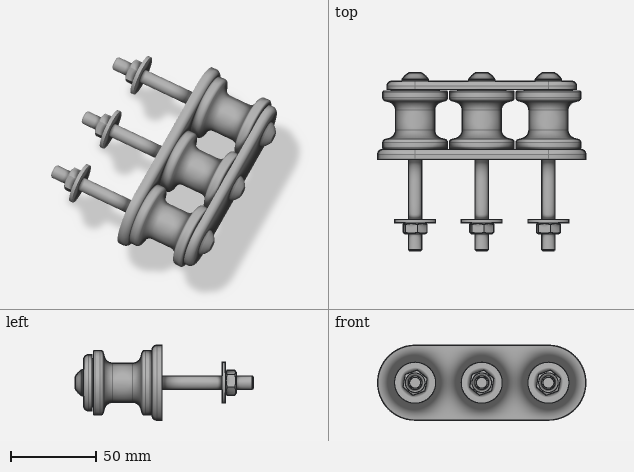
import cadquery as cq
import math


BOLT_COUNT = 3
BOLT_PITCH = 39.0
ROW_LENGTH = (BOLT_COUNT - 1) * BOLT_PITCH

BASE_WIDTH = 44.0
BASE_THICKNESS = 6.0
COVER_WIDTH = 33.0
COVER_THICKNESS = 5.0
PLATE_FILLET = 3.0
BASE_EDGE_FILLET = 0.25

FLANGE_RADIUS = 38.0 / 2
NECK_RADIUS = 23.0 / 2
ROLLER_LENGTH = 34.3
NECK_FILLET = 5.0
FLANGE_INNER_FILLET = 2.0
FLANGE_DRAFT = 15.0
FLANGE_OUTER_FILLET = 1.1
NECK_LENGTH = 11.7

SPACER_DIAMETER = 28.5
SPACER_THICKNESS = 0.7

SHANK_DIAMETER = 8.0
SHANK_CHAMFER = 0.8
OVERALL_LENGTH = 104.4
HEAD_RADIUS = 15.6 / 2
HEAD_HEIGHT = 5.0
HEAD_RIM_HEIGHT = 0.8
HEAD_CONE_HEIGHT = 0.8
DOME_BASE_RADIUS = 7.3
DOME_TOP_RADIUS = 3.3
DOME_BULGE = 0.35

WASHER_DIAMETER = 24.0
WASHER_THICKNESS = 2.0
WASHER_FACE_Y = -35.0
NUT_ACROSS_FLATS = 13.0
NUT_HEIGHT = 6.5
NUT_FACE_DIAMETER = 11.4
NUT_CHAMFER_ANGLE = 30.0
NUT_TURN = 10.0
HEXAGON_SIDES = 6
HEXAGON_HALF_ANGLE = 180.0 / HEXAGON_SIDES

COVER_Y = BASE_THICKNESS + ROLLER_LENGTH + SPACER_THICKNESS
HEAD_Y = COVER_Y + COVER_THICKNESS
BOLT_TOP_Y = HEAD_Y + HEAD_HEIGHT
BOLT_END_Y = BOLT_TOP_Y - OVERALL_LENGTH
NUT_FACE_Y = WASHER_FACE_Y - WASHER_THICKNESS


def xz_plane(y):
    """Workplane at station y whose normal is +Y and whose local x is -X."""
    return cq.Workplane(cq.Plane(origin=(0, y, 0), xDir=(-1, 0, 0), normal=(0, 1, 0)))


def disc(diameter, y, thickness):
    """Round disc on the Y axis, from y to y + thickness."""
    return xz_plane(y).circle(diameter / 2).extrude(thickness)


def revolve_about_y(profile):
    """Close an XY half profile along the Y axis and spin it into a solid."""
    return profile.close().revolve(360, (0, 0, 0), (0, 1, 0))


def plate(width, y, thickness):
    """Stadium plate with its +Y edge rounded."""
    blank = xz_plane(y).slot2D(ROW_LENGTH + width, width).extrude(thickness)
    return blank.faces(">Y").edges().fillet(PLATE_FILLET)


def half_roller():
    """Half spool from its middle (Y = 0) to its +Y end; a drafted wall joins flange and neck fillets."""
    end = ROLLER_LENGTH / 2
    neck_end = NECK_LENGTH / 2
    sine = math.sin(math.radians(FLANGE_DRAFT))
    cosine = math.cos(math.radians(FLANGE_DRAFT))
    wall_inner_radius = NECK_RADIUS + NECK_FILLET * (1 - sine)
    wall_inner_y = neck_end + NECK_FILLET * cosine
    wall_outer_radius = FLANGE_RADIUS - FLANGE_INNER_FILLET * (1 - sine)
    wall_outer_y = wall_inner_y + (wall_outer_radius - wall_inner_radius) * sine / cosine
    rim_start = wall_outer_y + FLANGE_INNER_FILLET * cosine
    profile = (
        cq.Workplane("XY")
        .lineTo(NECK_RADIUS, 0)
        .lineTo(NECK_RADIUS, neck_end)
        .radiusArc((wall_inner_radius, wall_inner_y), NECK_FILLET)
        .lineTo(wall_outer_radius, wall_outer_y)
        .radiusArc((FLANGE_RADIUS, rim_start), -FLANGE_INNER_FILLET)
        .lineTo(FLANGE_RADIUS, end - FLANGE_OUTER_FILLET)
        .radiusArc((FLANGE_RADIUS - FLANGE_OUTER_FILLET, end), -FLANGE_OUTER_FILLET)
        .lineTo(0, end)
    )
    return revolve_about_y(profile)


def roller():
    """Spool seated on the base plate, symmetric about its middle."""
    half = half_roller()
    spool = half.union(half.mirror("XZ")).clean()
    return spool.translate((0, BASE_THICKNESS + ROLLER_LENGTH / 2, 0))


def bolt():
    """Shank with a chamfered end and a domed, flat-topped head."""
    shank = disc(SHANK_DIAMETER, BOLT_END_Y, HEAD_Y - BOLT_END_Y)
    shank = shank.faces("<Y").edges().chamfer(SHANK_CHAMFER)
    rim_y = HEAD_Y + HEAD_RIM_HEIGHT
    dome_y = rim_y + HEAD_CONE_HEIGHT
    head_profile = (
        cq.Workplane("XY")
        .moveTo(0, HEAD_Y)
        .lineTo(HEAD_RADIUS, HEAD_Y)
        .lineTo(HEAD_RADIUS, rim_y)
        .lineTo(DOME_BASE_RADIUS, dome_y)
        .sagittaArc((DOME_TOP_RADIUS, BOLT_TOP_Y), -DOME_BULGE)
        .lineTo(0, BOLT_TOP_Y)
    )
    return shank.union(revolve_about_y(head_profile))


def nut():
    """Hexagon nut with both faces chamfered by cones."""
    corner_radius = NUT_ACROSS_FLATS / 2 / math.cos(math.radians(HEXAGON_HALF_ANGLE))
    face_radius = NUT_FACE_DIAMETER / 2
    chamfer_height = (corner_radius - face_radius) * math.tan(math.radians(NUT_CHAMFER_ANGLE))
    end_y = NUT_FACE_Y - NUT_HEIGHT
    hexagon = xz_plane(end_y).polygon(HEXAGON_SIDES, 2 * corner_radius).extrude(NUT_HEIGHT)
    hexagon = hexagon.rotate((0, 0, 0), (0, 1, 0), HEXAGON_HALF_ANGLE + NUT_TURN)
    envelope = (
        cq.Workplane("XY")
        .moveTo(0, end_y)
        .lineTo(face_radius, end_y)
        .lineTo(corner_radius, end_y + chamfer_height)
        .lineTo(corner_radius, NUT_FACE_Y - chamfer_height)
        .lineTo(face_radius, NUT_FACE_Y)
        .lineTo(0, NUT_FACE_Y)
    )
    return hexagon.intersect(revolve_about_y(envelope))


def bolt_station():
    """One bolt with its roller, spacer, washer and nut."""
    spacer = disc(SPACER_DIAMETER, COVER_Y - SPACER_THICKNESS, SPACER_THICKNESS)
    washer = disc(WASHER_DIAMETER, NUT_FACE_Y, WASHER_THICKNESS)
    return bolt().union(roller()).union(spacer).union(washer).union(nut())


base_plate = plate(BASE_WIDTH, 0, BASE_THICKNESS).faces("<Y").edges().fillet(BASE_EDGE_FILLET)
cover_plate = plate(COVER_WIDTH, COVER_Y, COVER_THICKNESS)
result = base_plate.union(cover_plate)
station = bolt_station()
for index in range(BOLT_COUNT):
    x = index * BOLT_PITCH - ROW_LENGTH / 2
    result = result.union(station.translate((x, 0, 0)))